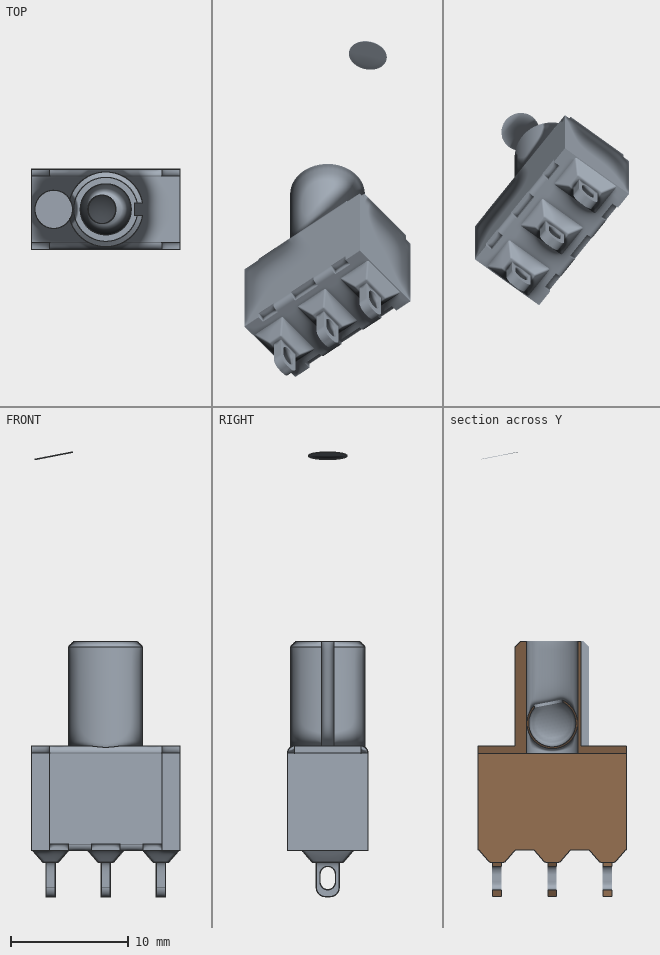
import cadquery as cq
import math


BODY_LENGTH = 12.7
BODY_WIDTH = 6.87
TOTAL_HEIGHT = 37.98
BODY_BOTTOM = 3.95
FRAME_TOP = 12.88

SHEET = 0.6
SHEET_LENGTH = 9.57
SHEET_GAP = 0.57
TAB_LENGTH = 1.95
TAB_CENTER = 2.2
TAB_BEND_RADIUS = 0.5
FRAME_UNDERSIDE = FRAME_TOP - SHEET

BUSHING_DIAMETER = 6.38
BUSHING_TOP = 21.8
BUSHING_CHAMFER = 0.45
BORE_DIAMETER = 4.35
KEYWAY_WIDTH = 1.05
KEYWAY_FLOOR = 2.45

TERMINAL_COUNT = 3
TERMINAL_PITCH = 4.7
TERMINAL_THICKNESS = 0.8
TERMINAL_WIDTH = 1.97
TERMINAL_CORNER_RADIUS = 0.8
EYE_WIDTH = 1.3
EYE_HEIGHT = 1.97
EYE_BOTTOM = 0.6
FOOT_LENGTH = 3.08
FOOT_WIDTH = 4.4
FOOT_HEIGHT = 1.03
FOOT_TAPER = 41.0
FOOT_ROUNDING = 0.2

TILT = 11.0
BALL_DIAMETER = BORE_DIAMETER
BALL_WALL = 0.2
BALL_OPENING = 2.43
DISC_DIAMETER = 3.25
DISC_THICKNESS = 0.05
DISC_OFFSET = 4.45

TERMINAL_TOP = BODY_BOTTOM - FOOT_HEIGHT
TERMINAL_XS = [(i - (TERMINAL_COUNT - 1) / 2) * TERMINAL_PITCH for i in range(TERMINAL_COUNT)]
TILT_ANGLE = math.radians(TILT)
DISC_TOP_CENTER = TOTAL_HEIGHT - DISC_DIAMETER / 2 * math.sin(TILT_ANGLE)
PIVOT_HEIGHT = DISC_TOP_CENTER - DISC_OFFSET / math.tan(TILT_ANGLE)


def block(length, width, bottom, top, x=0, y=0):
    """Upright box between two heights, centered on x and y."""
    return (
        cq.Workplane("XY")
        .box(length, width, top - bottom, centered=(True, True, False))
        .translate((x, y, bottom))
    )


def folded_strap():
    """Top strip with side sheets and bottom tabs, before any opening is cut."""
    sheet_bottom = BODY_BOTTOM + SHEET_GAP
    strap = block(SHEET_LENGTH, BODY_WIDTH, sheet_bottom, FRAME_TOP).edges("|X and >Z").fillet(SHEET)
    strap = strap.cut(block(SHEET_LENGTH, BODY_WIDTH - 2 * SHEET, sheet_bottom, FRAME_UNDERSIDE))
    strap = strap.union(block(BODY_LENGTH, BODY_WIDTH - 2 * SHEET, FRAME_UNDERSIDE, FRAME_TOP))
    for side in (-1, 1):
        outer_edge = "|X and <Z and " + (">Y" if side > 0 else "<Y")
        for end in (-1, 1):
            tab = block(
                TAB_LENGTH, SHEET, BODY_BOTTOM, sheet_bottom,
                x=end * TAB_CENTER, y=side * (BODY_WIDTH - SHEET) / 2,
            )
            strap = strap.union(tab.edges(outer_edge).fillet(TAB_BEND_RADIUS))
    return strap


def make_frame():
    """Strap and the keyed bushing that stands on it."""
    barrel = (
        cq.Workplane("XY", origin=(0, 0, FRAME_UNDERSIDE))
        .circle(BUSHING_DIAMETER / 2)
        .extrude(BUSHING_TOP - FRAME_UNDERSIDE)
        .faces(">Z")
        .chamfer(BUSHING_CHAMFER)
    )
    keyway = block(
        BUSHING_DIAMETER, KEYWAY_WIDTH, FRAME_TOP, BUSHING_TOP,
        x=KEYWAY_FLOOR + BUSHING_DIAMETER / 2,
    )
    bore = (
        cq.Workplane("XY", origin=(0, 0, FRAME_UNDERSIDE))
        .circle(BORE_DIAMETER / 2)
        .extrude(BUSHING_TOP - FRAME_UNDERSIDE)
    )
    return folded_strap().union(barrel.cut(keyway)).cut(bore)


def make_housing():
    """Block with full-height side recesses for the strap and a rounded tapered foot per terminal."""
    housing = block(BODY_LENGTH, BODY_WIDTH, BODY_BOTTOM, FRAME_UNDERSIDE)
    for side in (-1, 1):
        recess_y = side * (BODY_WIDTH - SHEET) / 2
        housing = housing.cut(block(SHEET_LENGTH, SHEET, BODY_BOTTOM, FRAME_UNDERSIDE, y=recess_y))
    for x in TERMINAL_XS:
        foot = (
            cq.Workplane("XY", origin=(x, 0, BODY_BOTTOM))
            .rect(FOOT_LENGTH, FOOT_WIDTH)
            .extrude(-FOOT_HEIGHT, taper=FOOT_TAPER)
            .edges("not >Z")
            .fillet(FOOT_ROUNDING)
        )
        housing = housing.union(foot)
    return housing


def make_terminal(x):
    """Flat solder lug with rounded lower corners and a long eye."""
    lug = block(TERMINAL_THICKNESS, TERMINAL_WIDTH, 0, TERMINAL_TOP, x=x)
    lug = lug.edges("|X and <Z").fillet(TERMINAL_CORNER_RADIUS)
    eye = (
        cq.Workplane("YZ", origin=(x, 0, EYE_BOTTOM + EYE_HEIGHT / 2))
        .slot2D(EYE_HEIGHT, EYE_WIDTH, 90)
        .extrude(TERMINAL_THICKNESS, both=True)
    )
    return lug.cut(eye)


def tilted(body):
    """Lean a body built about the origin towards -X and set it on the pivot."""
    return body.rotate((0, 0, 0), (0, 1, 0), -TILT).translate((0, 0, PIVOT_HEIGHT))


def make_ball():
    """Hollow pivot ball, open towards the disc."""
    ball = cq.Workplane("XY").sphere(BALL_DIAMETER / 2)
    cavity = cq.Workplane("XY").sphere(BALL_DIAMETER / 2 - BALL_WALL)
    opening = cq.Workplane("XY").circle(BALL_OPENING / 2).extrude(BALL_DIAMETER)
    return tilted(ball.cut(cavity).cut(opening))


def make_disc():
    """Thin round disc far above the bushing, on the axis of the ball."""
    distance = DISC_OFFSET / math.sin(TILT_ANGLE)
    disc = (
        cq.Workplane("XY", origin=(0, 0, distance))
        .circle(DISC_DIAMETER / 2)
        .extrude(-DISC_THICKNESS)
    )
    return tilted(disc)


housing = make_housing()
frame = make_frame()
ball = make_ball()
disc = make_disc()
terminals = [make_terminal(x) for x in TERMINAL_XS]

result = cq.Compound.makeCompound(
    [housing.val(), frame.val(), ball.val(), disc.val(), *[terminal.val() for terminal in terminals]]
)